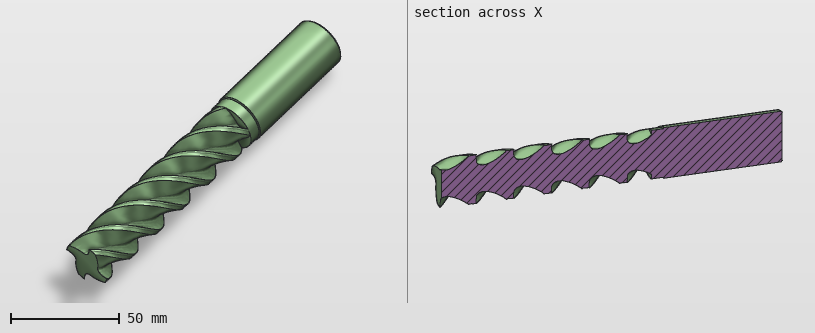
import cadquery as cq
import math

TOTAL_LENGTH = 170.0
FLUTED_LENGTH = 104.7
SHANK_LENGTH = 59.5
SHANK_DIAMETER = 25.0
CUTTER_DIAMETER = 24.0
REAR_CHAMFER = 0.7
SHOULDER_CHAMFER = 0.5

TOOTH_COUNT = 4
HELIX_ANGLE = 45.0
CUTTER_RADIUS = CUTTER_DIAMETER / 2
HELIX_LEAD = math.pi * CUTTER_DIAMETER / math.tan(math.radians(HELIX_ANGLE))

CUTTING_EDGE_ANGLE = 6.5
RELIEF_START_ANGLE = 13.0
HEEL_ANGLE = 25.0


def on_cutter_circle(angle):
    """(X, Z) point of the cutter circle at an angle clockwise from +Z."""
    radians = math.radians(angle)
    return (CUTTER_RADIUS * math.sin(radians), CUTTER_RADIUS * math.cos(radians))


CUTTING_EDGE = on_cutter_circle(CUTTING_EDGE_ANGLE)
MARGIN_MIDDLE = on_cutter_circle((CUTTING_EDGE_ANGLE + RELIEF_START_ANGLE) / 2)
RELIEF_START = on_cutter_circle(RELIEF_START_ANGLE)
HEEL = on_cutter_circle(HEEL_ANGLE)
BACK_MIDDLE = (6.3, 7.1)
FLUTE_FLOOR = (6.5, 2.0)
GULLET_MIDDLE = (7.5, -0.3)
RAKE_FACE_FOOT = (9.5, -1.2)


def turned(point, tooth):
    """Turn an (X, Z) point clockwise to a tooth; return it as plane (Z, X)."""
    angle = math.radians(360 / TOOTH_COUNT) * tooth
    x, z = point
    turned_x = x * math.cos(angle) + z * math.sin(angle)
    turned_z = z * math.cos(angle) - x * math.sin(angle)
    return (turned_z, turned_x)


def make_fluted_section():
    """Sweep the four-tooth section along the right-hand helix."""
    outline = cq.Workplane("ZX").moveTo(*turned(CUTTING_EDGE, 0))
    for tooth in range(TOOTH_COUNT):
        outline = (
            outline.threePointArc(turned(MARGIN_MIDDLE, tooth), turned(RELIEF_START, tooth))
            .lineTo(*turned(HEEL, tooth))
            .threePointArc(turned(BACK_MIDDLE, tooth), turned(FLUTE_FLOOR, tooth))
        )
        gullet_points = [
            turned(GULLET_MIDDLE, tooth),
            turned(RAKE_FACE_FOOT, tooth),
            turned(CUTTING_EDGE, tooth + 1),
        ]
        outline = outline.spline(gullet_points, includeCurrent=True)
    twist = 360 * FLUTED_LENGTH / HELIX_LEAD
    return outline.close().twistExtrude(FLUTED_LENGTH, twist)


def make_neck():
    """Plain collar between the flutes and the shank."""
    neck_length = TOTAL_LENGTH - SHANK_LENGTH - FLUTED_LENGTH
    return (
        cq.Workplane("ZX", origin=(0, FLUTED_LENGTH, 0))
        .circle(CUTTER_RADIUS)
        .extrude(neck_length)
    )


def make_shank():
    """Cylindrical shank, chamfered at its shoulder and its rear end."""
    shank_start = TOTAL_LENGTH - SHANK_LENGTH
    return (
        cq.Workplane("ZX", origin=(0, shank_start, 0))
        .circle(SHANK_DIAMETER / 2)
        .extrude(SHANK_LENGTH)
        .faces("<Y").chamfer(SHOULDER_CHAMFER)
        .faces(">Y").chamfer(REAR_CHAMFER)
    )


result = make_fluted_section().union(make_neck()).union(make_shank())